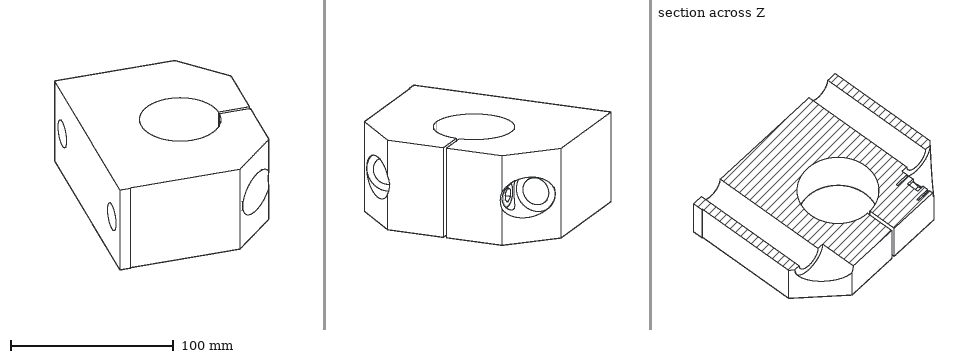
import cadquery as cq
import math

length = 131.5
depth = 105.0
height = 58.0
corner_chamfer = 27.5

lip_projection = 0.5
lip_depth = 7.0

bore_diameter = 50.0
bore_y = 60.0
slot_width = 2.0

mounting_spacing = 100.0
mounting_diameter = 17.29
mounting_counterbore_diameter = 26.0
mounting_counterbore_depth = 25.0

screw_inset = 12.0
screw_counterbore_diameter = 18.0
head_diameter = 16.0
head_height = 10.0
head_edge_radius = 0.8
socket_across_flats = 8.0
socket_depth = 5.0

screw_y = depth - screw_inset
mounting_x = mounting_spacing / 2
head_top_x = -mounting_x + mounting_counterbore_diameter / 2
head_seat_x = head_top_x + head_height


def make_block():
    """Rectangular block with the two corners beside the slot cut off."""
    return (
        cq.Workplane("XY")
        .box(length, depth, height, centered=(True, False, True))
        .edges("|Z and >Y")
        .chamfer(corner_chamfer)
    )


def make_lip():
    """Thin strip standing proud of the +X face."""
    lip = cq.Workplane("XY", origin=(length / 2, 0, 0))
    return lip.box(lip_projection, lip_depth, height, centered=(False, False, True))


def make_bore_and_slot():
    """Shaft bore together with the slot that opens it to the +Y face."""
    bore = cq.Workplane("XY").center(0, bore_y).circle(bore_diameter / 2).extrude(height / 2, both=True)
    slot = (
        cq.Workplane("XY")
        .center(0, bore_y)
        .box(slot_width, depth - bore_y, height, centered=(True, False, True))
    )
    return bore.union(slot)


def cylinder_along_y(x, diameter, start_y, end_y):
    base = cq.Workplane("XZ", origin=(x, start_y, 0))
    return base.circle(diameter / 2).extrude(start_y - end_y)


def make_mounting_hole(x):
    """Through hole with a counterbore sunk from the +Y side."""
    counterbore_floor_y = depth - mounting_counterbore_depth
    hole = cylinder_along_y(x, mounting_diameter, 0, depth)
    counterbore = cylinder_along_y(x, mounting_counterbore_diameter, counterbore_floor_y, depth)
    return hole.union(counterbore)


def make_screw_counterbore():
    """Recess from the mounting counterbore to the seat of the screw head."""
    start = cq.Workplane("YZ", origin=(-mounting_x, screw_y, 0))
    return start.circle(screw_counterbore_diameter / 2).extrude(head_seat_x + mounting_x)


def make_screw_head():
    """Round head with a rounded rim and a hexagon socket, corners along Z."""
    head_top = cq.Workplane("YZ", origin=(head_top_x, screw_y, 0))
    across_corners = socket_across_flats / math.cos(math.pi / 6)
    head = head_top.circle(head_diameter / 2).extrude(head_height).edges("<X").fillet(head_edge_radius)
    socket = (
        head_top
        .transformed(rotate=(0, 0, 90))
        .polygon(6, across_corners)
        .extrude(socket_depth)
    )
    return head.cut(socket)


result = make_block().union(make_lip()).cut(make_bore_and_slot())
for side in (-1, 1):
    result = result.cut(make_mounting_hole(side * mounting_x))
result = result.cut(make_screw_counterbore()).union(make_screw_head())